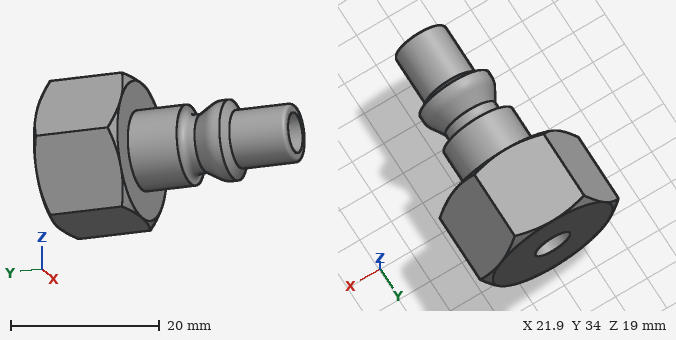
import cadquery as cq
import math

total_length = 34.0
hex_length = 12.0
shoulder_y = 15.0
neck_y = 13.0
spigot_length = 8.0
hex_front_y = total_length - hex_length

hex_across_flats = 19.0
collar_diameter = 11.0
spigot_diameter = 8.0
bore_diameter = 5.5

hex_chamfer_angle = math.radians(30)
rib_front_angle = math.radians(60)
rib_back_angle = math.radians(30)
rib_round = 2.45
neck_round = 1.0
tip_round = 0.5

collar_radius = collar_diameter / 2
spigot_radius = spigot_diameter / 2


def make_hex_head():
    """Hexagon with corners on X, its corners chamfered conically at both ends."""
    across_corners = hex_across_flats / math.cos(math.pi / 6)
    hexagon = (
        cq.Workplane("XZ", origin=(0, total_length, 0))
        .polygon(6, across_corners)
        .extrude(hex_length)
    )
    face_radius = hex_across_flats / 2
    outer_radius = across_corners / 2 + 0.35
    chamfer_depth = (outer_radius - face_radius) * math.tan(hex_chamfer_angle)
    envelope = (
        cq.Workplane("XY")
        .moveTo(0, hex_front_y)
        .lineTo(face_radius, hex_front_y)
        .lineTo(outer_radius, hex_front_y + chamfer_depth)
        .lineTo(outer_radius, total_length - chamfer_depth)
        .lineTo(face_radius, total_length)
        .lineTo(0, total_length)
        .close()
        .revolve(360, (0, 0, 0), (0, 1, 0))
    )
    return hexagon.intersect(envelope)


def make_stem():
    """Turned stem: spigot, locking rib, neck and collar."""
    rib_height = collar_radius - spigot_radius
    rib_front_y = spigot_length + rib_height / math.tan(rib_front_angle)

    rib_corner_y = neck_y - rib_height / math.tan(rib_back_angle)
    round_start_y = rib_corner_y - rib_round * math.tan(rib_back_angle / 2)
    round_center_radius = collar_radius - rib_round

    def rib_round_point(angle):
        return (
            round_center_radius + rib_round * math.cos(angle),
            round_start_y + rib_round * math.sin(angle),
        )

    return (
        cq.Workplane("XY")
        .lineTo(spigot_radius - tip_round, 0)
        .radiusArc((spigot_radius, tip_round), -tip_round)
        .lineTo(spigot_radius, spigot_length)
        .lineTo(collar_radius, rib_front_y)
        .lineTo(collar_radius, round_start_y)
        .threePointArc(rib_round_point(rib_back_angle / 2), rib_round_point(rib_back_angle))
        .lineTo(spigot_radius, neck_y)
        .lineTo(spigot_radius, shoulder_y - neck_round)
        .radiusArc((spigot_radius + neck_round, shoulder_y), neck_round)
        .lineTo(collar_radius, shoulder_y)
        .lineTo(collar_radius, hex_front_y)
        .lineTo(0, hex_front_y)
        .close()
        .revolve(360, (0, 0, 0), (0, 1, 0))
    )


def make_bore():
    """Plain bore through the full length."""
    return (
        cq.Workplane("XZ", origin=(0, total_length, 0))
        .circle(bore_diameter / 2)
        .extrude(total_length)
    )


result = make_hex_head().union(make_stem()).cut(make_bore())